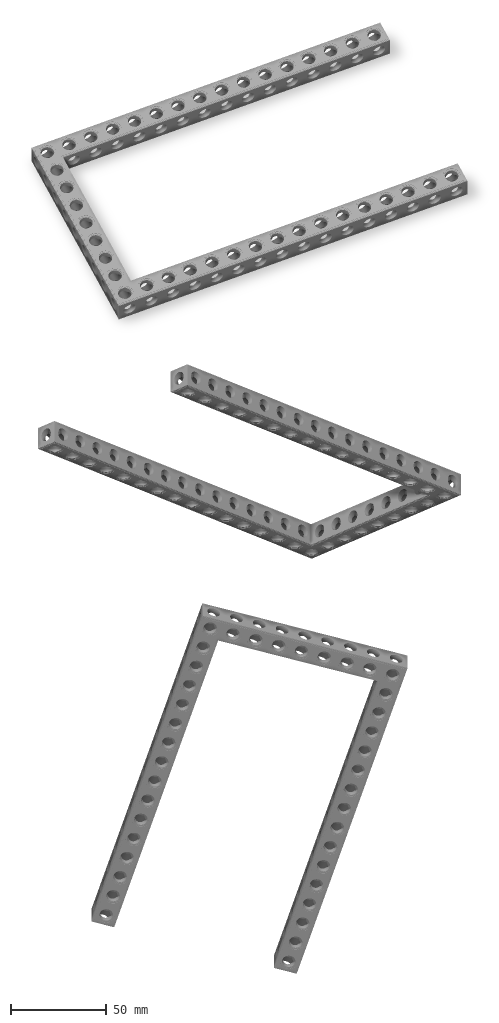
import cadquery as cq

LENGTH = 200
COLUMNS = 9
ROWS = 16
HOLE_DIAMETER = 7.0
MOUTH_DIAMETERS = (7.8, 9.2)
RIM_INSETS = (0.3, 1.0)
STEP_DEPTH = 0.15

PITCH = LENGTH / ROWS
WIDTH = COLUMNS * PITCH


def centered_row(count):
    """Coordinates of grid cells in a row centred on the origin."""
    return [(i - (count - 1) / 2) * PITCH for i in range(count)]


def u_block(inset, height):
    """U-shaped block, open toward +Y, with its whole outline moved inward by inset."""
    outer = cq.Workplane("XY").box(WIDTH - 2 * inset, LENGTH - 2 * inset, height)
    wall = PITCH - inset
    opening = cq.Workplane("XY").center(0, wall).box(WIDTH - 2 * wall, LENGTH, height)
    return outer.cut(opening)


def bars(plane, points, diameter, length, offset=0):
    """Round bars of the given length, centred on the offset plane, for cutting holes."""
    circles = cq.Workplane(plane).workplane(offset=offset).pushPoints(points).circle(diameter / 2)
    return circles.extrude(length / 2, both=True)


column_x = centered_row(COLUMNS)
row_y = centered_row(ROWS)
base_points = [(x, row_y[0]) for x in column_x]
arm_points = [(x, y) for x in (column_x[0], column_x[-1]) for y in row_y[1:]]
vertical_points = base_points + arm_points

core_height = PITCH - 2 * len(RIM_INSETS) * STEP_DEPTH
result = u_block(0, core_height)
for step, inset in enumerate(RIM_INSETS, start=1):
    result = result.union(u_block(inset, core_height + 2 * step * STEP_DEPTH))

result = result.cut(bars("XY", vertical_points, HOLE_DIAMETER, PITCH))
result = result.cut(bars("XZ", [(x, 0) for x in column_x], HOLE_DIAMETER, LENGTH))
result = result.cut(bars("YZ", [(y, 0) for y in row_y], HOLE_DIAMETER, WIDTH))

for face_z in (PITCH / 2, -PITCH / 2):
    for step, diameter in enumerate(MOUTH_DIAMETERS):
        depth = (len(MOUTH_DIAMETERS) - step) * STEP_DEPTH
        result = result.cut(bars("XY", vertical_points, diameter, 2 * depth, face_z))

result = cq.Workplane(result.solids().val())